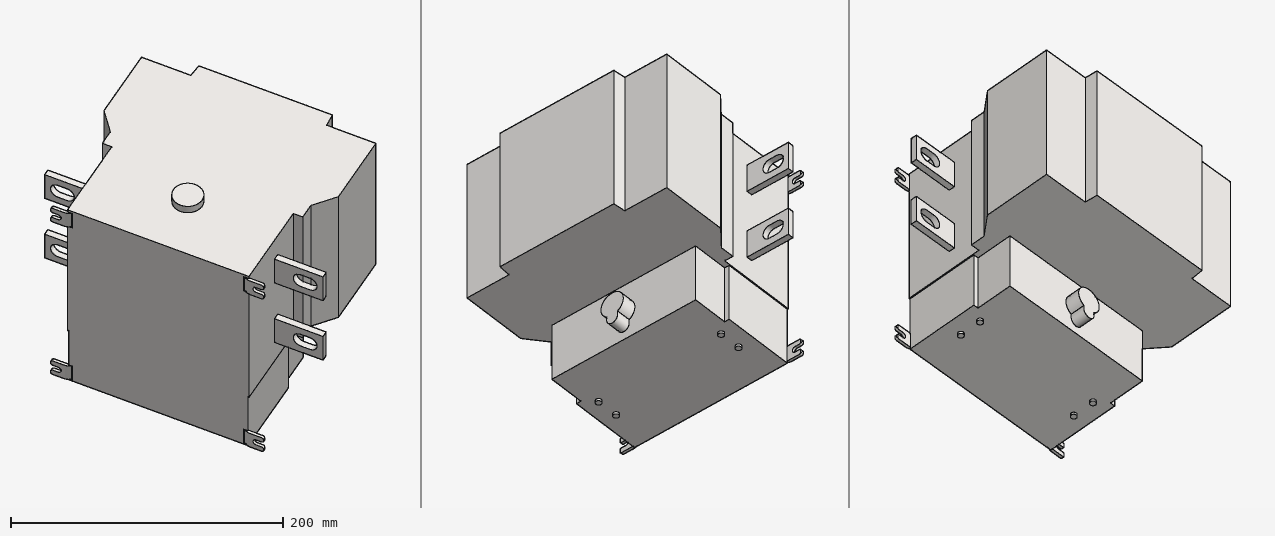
import cadquery as cq

front_half_width = 74.8
shoulder_half_width = 82.7
wide_half_width = 96.7
cap_base_half_width = 56.0
cap_end_half_width = 55.0
shoulder_y = 71.9
flare_start_y = 85.0
flare_end_y = 102.2
wide_rear_y = 163.0
rear_y = 174.3
split_z = 52.0
top_z = 180.5

lower_front_half_width = 74.0
lower_rear_half_width = 69.5
lower_step_y = 66.0
lower_rear_y = 98.7

button_diameter = 23.6
button_height = 6.7
button_y = 48.0

bar_half_span = 114.8
bar_height = 25.3
bar_thickness = 5.3
bar_y = 44.0
bar_levels = (84.3, 147.6)
bar_hole_x = 100.0
bar_hole_length = 19.5
bar_hole_width = 12.5

bracket_front_y = -1.8
bracket_back_y = 0.7
bracket_outer_x = 88.0
bracket_bend_x = 75.8
bracket_knee_x = 74.2
bracket_knee_y = -1.4
bracket_lip_x = 71.5
bracket_lip_y = -0.5
bracket_inner_x = 70.5
bracket_tip_bevel = 0.7
bracket_height = 14.5
bracket_levels = (8.7, 171.0)
fork_slot_width = 5.0
fork_slot_end_x = 79.2
fork_tip_radius = 2.0

foot_diameter = 5.0
foot_height = 2.0
foot_x = 59.2
foot_rows_y = (38.0, 57.9)

plug_length = 13.0
plug_radius = 10.8
plug_z = 25.7
plug_tail_radius = 5.3
plug_tail_z = 12.9


def box(x_range, y_range, z_range):
    """Box spanning the given (low, high) range along each axis."""
    spans = (x_range, y_range, z_range)
    size = [high - low for low, high in spans]
    corner = tuple(low for low, high in spans)
    return cq.Workplane("XY").box(*size, centered=False).translate(corner)


def centered_block(half_width, y_range, z_range):
    return box((-half_width, half_width), y_range, z_range)


def upper_housing():
    right_side = [
        (front_half_width, 0),
        (front_half_width, shoulder_y),
        (shoulder_half_width, shoulder_y),
        (shoulder_half_width, flare_start_y),
        (wide_half_width, flare_end_y),
        (wide_half_width, wide_rear_y),
        (cap_base_half_width, wide_rear_y),
        (cap_end_half_width, rear_y),
    ]
    left_side = [(-x, y) for x, y in reversed(right_side)]
    outline = cq.Workplane("XY", origin=(0, 0, split_z)).polyline(right_side + left_side).close()
    return outline.extrude(top_z - split_z)


def lower_housing():
    front_block = centered_block(lower_front_half_width, (0, lower_step_y), (0, split_z))
    rear_block = centered_block(lower_rear_half_width, (lower_step_y, lower_rear_y), (0, split_z))
    return front_block.union(rear_block)


def button():
    base = cq.Workplane("XY", origin=(0, button_y, top_z))
    return base.circle(button_diameter / 2).extrude(button_height)


def terminal_bar(level):
    """Bar passing through the housing, with one hole at each exposed end."""
    bar = cq.Workplane("XY").box(2 * bar_half_span, bar_thickness, bar_height)
    holes = (
        cq.Workplane("XZ")
        .pushPoints([(-bar_hole_x, 0), (bar_hole_x, 0)])
        .slot2D(bar_hole_length, bar_hole_width)
        .extrude(bar_thickness, both=True)
    )
    return bar.cut(holes).translate((0, bar_y, level))


def right_bracket():
    """Bracket on the +X side, centred on z = 0."""
    profile = [
        (bracket_outer_x - bracket_tip_bevel, bracket_back_y),
        (bracket_outer_x, bracket_back_y - bracket_tip_bevel),
        (bracket_outer_x, bracket_front_y),
        (bracket_bend_x, bracket_front_y),
        (bracket_knee_x, bracket_knee_y),
        (bracket_lip_x, bracket_lip_y),
        (bracket_inner_x, bracket_lip_y),
        (bracket_inner_x, bracket_back_y),
    ]
    strip = (
        cq.Workplane("XY", origin=(0, 0, -bracket_height / 2))
        .polyline(profile)
        .close()
        .extrude(bracket_height)
    )
    blank = box(
        (bracket_inner_x, bracket_outer_x),
        (bracket_front_y, bracket_back_y),
        (-bracket_height / 2, bracket_height / 2),
    )
    slot_length = 2 * (bracket_outer_x - fork_slot_end_x)
    slot = (
        cq.Workplane("XZ")
        .center(bracket_outer_x, 0)
        .slot2D(slot_length, fork_slot_width)
        .extrude(bracket_height, both=True)
    )
    fork = blank.cut(slot).faces(">X").edges("|Y").fillet(fork_tip_radius)
    return strip.intersect(fork)


def feet():
    spots = [(x, y) for x in (-foot_x, foot_x) for y in foot_rows_y]
    return cq.Workplane("XY").pushPoints(spots).circle(foot_diameter / 2).extrude(-foot_height)


def keyhole_plug():
    rear_face = cq.Workplane("XZ", origin=(0, lower_rear_y, 0))
    head = rear_face.center(0, plug_z).circle(plug_radius).extrude(-plug_length)
    tail_end = rear_face.center(0, plug_tail_z).circle(plug_tail_radius).extrude(-plug_length)
    tail = centered_block(
        plug_tail_radius,
        (lower_rear_y, lower_rear_y + plug_length),
        (plug_tail_z, plug_z),
    )
    return head.union(tail).union(tail_end)


result = upper_housing().union(lower_housing()).union(button()).union(feet()).union(keyhole_plug())

for bar_level in bar_levels:
    result = result.union(terminal_bar(bar_level))

for bracket_level in bracket_levels:
    bracket = right_bracket().translate((0, 0, bracket_level))
    result = result.union(bracket).union(bracket.mirror("YZ"))